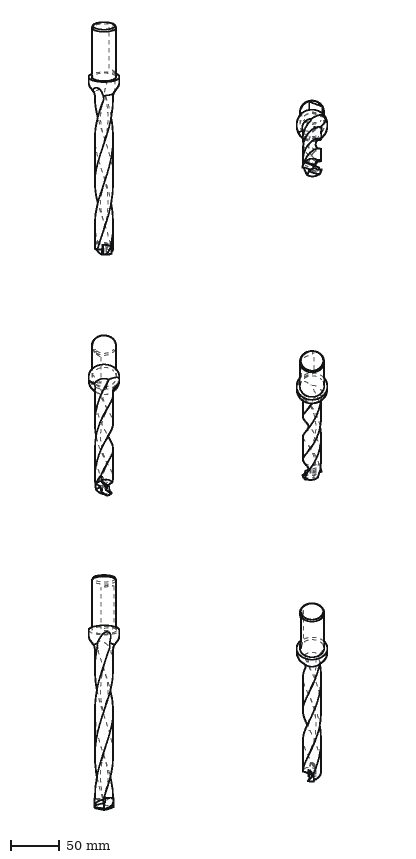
import cadquery as cq
import math

total_length = 251.0
half_turn_angle = 180.0

shank_radius = 25.0 / 2
shank_chamfer_height = 2.0
shank_chamfer_width = 1.0
collar_radius = 32.0 / 2
collar_top = 195.0
collar_bottom = 189.0
bowl_angle = math.radians(56)
neck_radius = 10.3
neck_top = 178.2
neck_bottom = 174.5

flat_offset = 10.3
flat_bottom = 198.3
flat_top = 247.5
flat_ramp = shank_radius - flat_offset

stem_radius = 19.0 / 2
end_low_height = 4.9
end_low_x = -8.8
end_rise_x = 0.17
end_rise_out = 0.25

flute_pitch = 187.7
flute_radius = 7.8
flute_center = 11.5
flute_left_height = 120.0
flute_start = -2.5
flute_end = 174.5
runout_length = 30.0
runout_outward = 1.1
runout_sideways = 0.8

insert_radius = 20.0 / 2
insert_thickness = 7.0
insert_top = 12.3
point_slope = 0.34
gash_wall = 0.88
gash_floor = -1.5
relief_start = 7.0
relief_top_y = 3.3
relief_bottom_y = -5.5
gash_outside = -7.5
relief_reach = 10.3


def flute_angle(height):
    """Direction, in degrees about Z, that one flute faces at a height."""
    return 180.0 + (height - flute_left_height) * 360.0 / flute_pitch


def make_flute():
    """Round groove twisted about the drill axis."""
    length = flute_end - flute_start
    groove = (
        cq.Workplane("XY", origin=(0, 0, flute_start))
        .pushPoints([(flute_center, 0)])
        .circle(flute_radius)
        .twistExtrude(length, length * 360.0 / flute_pitch)
    )
    return groove.rotate((0, 0, 0), (0, 0, 1), flute_angle(flute_start))


def make_runout():
    """Straight round-ended groove that lifts out of the flute through the collar."""
    start = cq.Vector(flute_center, 0, flute_end)
    direction = cq.Vector(runout_outward, runout_sideways, 1)
    groove = cq.Workplane(cq.Solid.makeCylinder(flute_radius, runout_length, start, direction))
    ball = cq.Workplane("XY").sphere(flute_radius).translate(start)
    return groove.union(ball).rotate((0, 0, 0), (0, 0, 1), flute_angle(flute_end))


def cut_twice(body, cutter):
    """Cut the same shape from both sides of the drill axis."""
    for turn in (0, half_turn_angle):
        body = body.cut(cutter.rotate((0, 0, 0), (0, 0, 1), turn))
    return body


def make_insert_blank():
    point = (
        cq.Workplane("XZ")
        .polyline([
            (0, 0),
            (insert_radius, insert_radius * point_slope),
            (insert_radius, insert_top),
            (0, insert_top),
        ])
        .close()
        .revolve(360, (0, 0), (0, 1))
    )
    plate = cq.Workplane("XY").box(
        2 * insert_radius, insert_thickness, insert_top, centered=(True, True, False)
    )
    return point.intersect(plate)


def make_gash():
    """Gash in one face of the insert; its floor twists towards the rim, deepest at the top."""

    def section(rim_y):
        return [
            (gash_wall, gash_outside),
            (gash_wall, gash_floor),
            (relief_start, gash_floor),
            (relief_reach, rim_y),
            (relief_reach, gash_outside),
        ]

    return (
        cq.Workplane("XY")
        .polyline(section(relief_bottom_y))
        .close()
        .workplane(offset=insert_top)
        .polyline(section(relief_top_y))
        .close()
        .loft(ruled=True)
    )


def make_insert():
    return cut_twice(make_insert_blank(), make_gash())


def make_end_cutter():
    """Everything under the sloping end face on the -Y side of the insert."""
    corner = (end_low_x, -insert_thickness / 2, end_low_height)
    end_plane = cq.Plane(origin=corner, xDir=(1, 0, end_rise_x), normal=(-end_rise_x, end_rise_out, 1))
    below = cq.Workplane(end_plane).rect(4 * collar_radius, 4 * collar_radius).extrude(-2 * collar_radius)
    half = cq.Workplane("XY").box(
        2 * collar_radius, collar_radius, 4 * collar_radius
    ).translate((0, -collar_radius / 2, 0))
    return below.intersect(half)


def make_flat_cutter():
    return (
        cq.Workplane("YZ")
        .polyline([
            (flat_offset, flat_bottom + flat_ramp),
            (flat_offset, flat_top - flat_ramp),
            (shank_radius, flat_top),
            (shank_radius, flat_bottom),
        ])
        .close()
        .extrude(shank_radius, both=True)
    )


def make_holder():
    chamfer_bottom = total_length - shank_chamfer_height
    sine = math.sin(bowl_angle)
    cosine = math.cos(bowl_angle)
    drop = collar_bottom - neck_top
    arc_radius = (drop * cosine - (collar_radius - neck_radius) * sine) / (1 - sine)
    arc_center = collar_radius - arc_radius
    arc_start = (arc_center + arc_radius * sine, collar_bottom - arc_radius * cosine)
    half_sweep = (math.pi / 2 - bowl_angle) / 2
    arc_middle = (
        arc_center + arc_radius * math.cos(half_sweep),
        collar_bottom - arc_radius * math.sin(half_sweep),
    )
    body = (
        cq.Workplane("XZ")
        .moveTo(0, 0)
        .lineTo(stem_radius, 0)
        .lineTo(stem_radius, neck_bottom)
        .lineTo(neck_radius, neck_top)
        .lineTo(*arc_start)
        .threePointArc(arc_middle, (collar_radius, collar_bottom))
        .lineTo(collar_radius, collar_top)
        .lineTo(shank_radius, collar_top)
        .lineTo(shank_radius, chamfer_bottom)
        .lineTo(shank_radius - shank_chamfer_width, total_length)
        .lineTo(0, total_length)
        .close()
        .revolve(360, (0, 0), (0, 1))
    )
    body = body.cut(make_flat_cutter())
    slot = cq.Workplane("XY").box(
        2 * collar_radius, insert_thickness, insert_top, centered=(True, True, False)
    )
    body = body.cut(slot)
    body = cut_twice(body, make_end_cutter())
    body = cut_twice(body, make_runout())
    return cut_twice(body, make_flute())


holder = make_holder()
insert = make_insert()
result = cq.Compound.makeCompound([holder.val(), insert.val()])